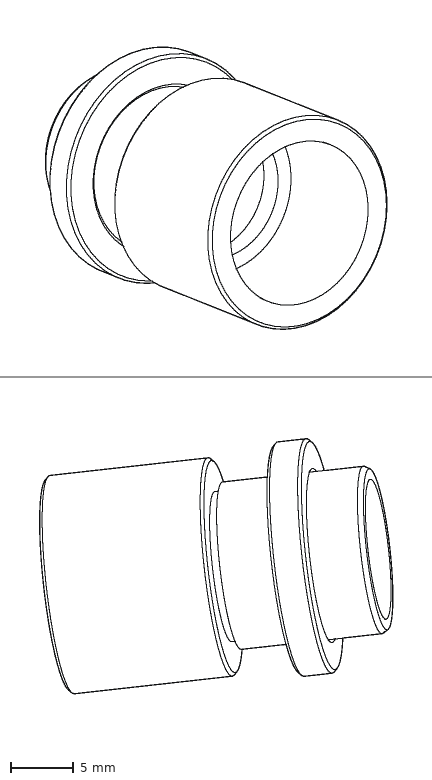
import cadquery as cq


total_length = 26.15
nose_length = 11.98
nose_radius = 6.8
nose_chamfer_length = 0.45
nose_chamfer_depth = 0.25
groove_width = 0.7
groove_radius = 6.1
barrel_radius = 8.87
barrel_chamfer = 0.25
bore_radius = 5.68
barrel_start = nose_length + groove_width

shoulder_thickness = 0.78
recess_radius = nose_radius
recess_start = barrel_start + shoulder_thickness

lock_ring_start = 4.58
lock_ring_width = 2.83
lock_ring_radius = 9.52
lock_ring_chamfer = 0.25
lock_ring_countersink = 0.25

retaining_ring_width = 1.95
retaining_ring_bore_radius = 5.52


def cylinder(start, length, radius):
    """Solid cylinder along X, beginning at X = start."""
    return cq.Workplane("YZ", origin=(start, 0, 0)).circle(radius).extrude(length)


def make_nose():
    """Nose cylinder with a shallow lead-in chamfer at its open end."""
    end_radius = nose_radius - nose_chamfer_depth
    profile = (
        cq.Workplane("XY")
        .moveTo(0, 0)
        .lineTo(0, end_radius)
        .lineTo(nose_chamfer_length, nose_radius)
        .lineTo(nose_length, nose_radius)
        .lineTo(nose_length, 0)
        .close()
    )
    return profile.revolve(360, (0, 0, 0), (1, 0, 0))


def make_tube():
    """Nose, groove and barrel joined, then bored through and recessed."""
    barrel_length = total_length - barrel_start
    barrel = cylinder(barrel_start, barrel_length, barrel_radius).edges().chamfer(barrel_chamfer)
    groove_core = cylinder(nose_length, groove_width, groove_radius)
    bore = cylinder(0, total_length, bore_radius)
    recess = cylinder(recess_start, total_length - recess_start, recess_radius)
    return make_nose().union(groove_core).union(barrel).cut(bore).cut(recess)


def make_lock_ring():
    """Ring fitting the nose, chamfered outside and countersunk inside at both ends."""
    blank = cylinder(lock_ring_start, lock_ring_width, lock_ring_radius)
    blank = blank.edges().chamfer(lock_ring_chamfer)
    hole = cylinder(lock_ring_start, lock_ring_width, nose_radius)
    ring = blank.cut(hole)
    hole_edges = cq.selectors.RadiusNthSelector(0)
    return ring.faces("<X or >X").edges(hole_edges).chamfer(lock_ring_countersink)


def make_retaining_ring():
    """Plain ring filling the inner end of the recess."""
    blank = cylinder(recess_start, retaining_ring_width, recess_radius)
    return blank.cut(cylinder(recess_start, retaining_ring_width, retaining_ring_bore_radius))


tube = make_tube()
lock_ring = make_lock_ring()
retaining_ring = make_retaining_ring()

bodies = [tube, lock_ring, retaining_ring]
result = cq.Compound.makeCompound([body.solids().val() for body in bodies])